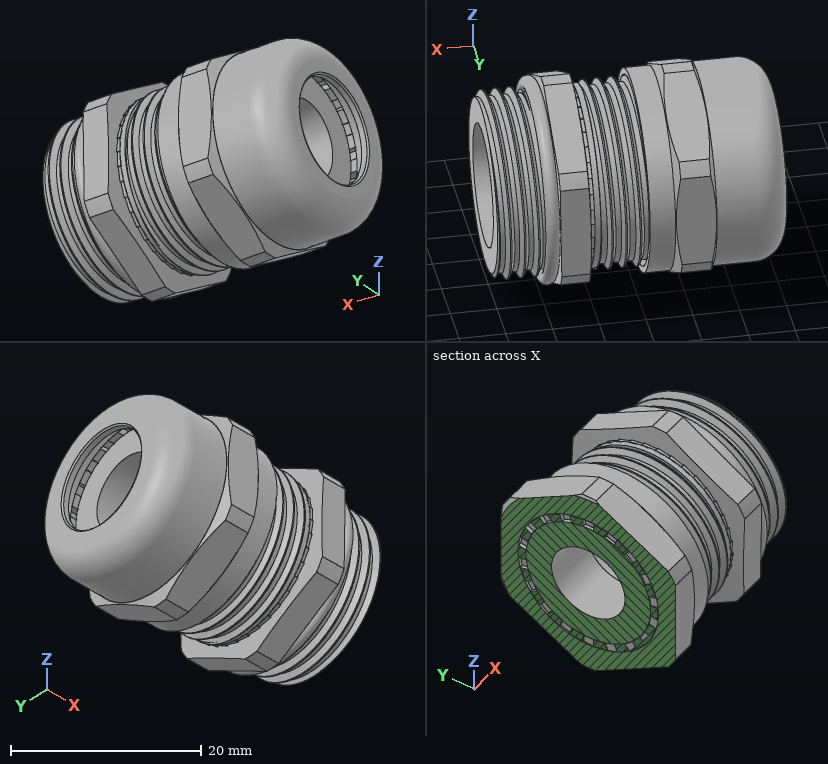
import cadquery as cq
import math

LENGTH = 31.05
NUT_HEX_START = 7.95
NUT_HEX_END = 12.35
NUT_END = 15.05
COLLAR_START = 20.1
TEETH_START = 20.75
BODY_HEX_START = 21.2
BODY_HEX_END = 24.55

YAW = -1.3
PITCH_DOWN = 0.9

ACROSS_FLATS = 22.0
HEX_CORNER_DIAMETER = 24.45
ACROSS_CORNERS = ACROSS_FLATS / math.cos(math.radians(30))

CAP_DIAMETER = 21.65
SKIRT_DIAMETER = 21.73
CAP_FILLET = 3.25
NUT_HEX_BEVEL = 0.6
MOUTH_DIAMETER = 12.15
MOUTH_CHAMFER = 0.2
MOUTH_CONE_START = 0.88

THREAD_PITCH = 1.5
THREAD_DIAMETER = 20.15
THREAD_CREST_FLAT = 0.15
THREAD_HALF_ANGLE = 30
THREAD_OVERLAP = 0.1
THREAD_CLEARANCE = 0.05
FRONT_ROOT_DIAMETER = 18.85
REAR_ROOT_DIAMETER = 18.7
FRONT_THREAD_START = 9.5
REAR_THREAD_START = 24.85
REAR_THREAD_CHAMFER = 0.47

BODY_START = 9.45
COLLAR_DIAMETER = 19.6
TOOTH_COUNT = 36
TOOTH_DEPTH = 0.15
BODY_HEX_CONE_LENGTH = 0.28
BODY_BORE_DIAMETER = 13.2

RING_INNER_DIAMETER = 19.18
RING_THICKNESS = 1.5
RING_CENTER_X = BODY_HEX_END + RING_THICKNESS / 2
RING_END = BODY_HEX_END + RING_THICKNESS

SEAL_HOLE_DIAMETER = 9.2
SEAL_DIAMETER = 15.75
SEAL_START = 3.55
SHOULDER = 14.9
CAGE_DIAMETER = 17.65
CAGE_START = 2.77
SLOT_COUNT = 18
SLOT_WIDTH = 1.25
SLOT_END = 8.82


def revolve_x(profile):
    """Turn a closed (x, radius) outline around the X axis."""
    return profile.close().revolve(360, (0, 0, 0), (1, 0, 0))


def cylinder(diameter, start, end):
    return cq.Workplane("YZ").workplane(offset=start).circle(diameter / 2).extrude(end - start)


def hexagon(start, end):
    """Hexagonal prism with two corners on the Z axis."""
    return (
        cq.Workplane("YZ")
        .workplane(offset=start)
        .transformed(rotate=(0, 0, 90))
        .polygon(6, ACROSS_CORNERS)
        .extrude(end - start)
    )


def thread_ridge(root_diameter, helix_start, helix_end):
    """Right-hand helical ridge whose crest begins at -Z."""
    root_radius = root_diameter / 2 - THREAD_OVERLAP
    crest_radius = THREAD_DIAMETER / 2
    half_crest = THREAD_CREST_FLAT / 2
    half_base = half_crest + (crest_radius - root_radius) * math.tan(math.radians(THREAD_HALF_ANGLE))
    helix = cq.Wire.makeHelix(THREAD_PITCH, helix_end - helix_start, root_radius)
    ridge = (
        cq.Workplane("XZ")
        .moveTo(root_radius, -half_base)
        .lineTo(crest_radius, -half_crest)
        .lineTo(crest_radius, half_crest)
        .lineTo(root_radius, half_base)
        .close()
        .sweep(cq.Workplane(obj=helix), isFrenet=True)
    )
    return ridge.rotate((0, 0, 0), (0, 1, 0), 90).translate((helix_start, 0, 0))


def make_nut():
    cap_radius = CAP_DIAMETER / 2
    arc_center_radius = cap_radius - CAP_FILLET
    arc_reach = CAP_FILLET * math.sin(math.radians(45))
    cap = revolve_x(
        cq.Workplane("XY")
        .moveTo(0, 0)
        .lineTo(0, arc_center_radius)
        .threePointArc((CAP_FILLET - arc_reach, arc_center_radius + arc_reach), (CAP_FILLET, cap_radius))
        .lineTo(NUT_HEX_START, cap_radius)
        .lineTo(NUT_HEX_START, 0)
    )
    skirt = cylinder(SKIRT_DIAMETER, NUT_HEX_START, NUT_END)

    skirt_radius = SKIRT_DIAMETER / 2
    corner_radius = HEX_CORNER_DIAMETER / 2
    hex_envelope = revolve_x(
        cq.Workplane("XY")
        .moveTo(NUT_HEX_START, 0)
        .lineTo(NUT_HEX_START, skirt_radius)
        .lineTo(NUT_HEX_START + NUT_HEX_BEVEL, corner_radius)
        .lineTo(NUT_HEX_END - NUT_HEX_BEVEL, corner_radius)
        .lineTo(NUT_HEX_END, skirt_radius)
        .lineTo(NUT_HEX_END, 0)
    )
    hex_ring = hexagon(NUT_HEX_START, NUT_HEX_END).intersect(hex_envelope)

    mouth_radius = MOUTH_DIAMETER / 2
    cage_radius = CAGE_DIAMETER / 2
    thread_bore_radius = THREAD_DIAMETER / 2 + THREAD_CLEARANCE
    cavity = revolve_x(
        cq.Workplane("XY")
        .moveTo(0, 0)
        .lineTo(0, mouth_radius + MOUTH_CHAMFER)
        .lineTo(MOUTH_CHAMFER, mouth_radius)
        .lineTo(MOUTH_CONE_START, mouth_radius)
        .lineTo(CAGE_START, SEAL_DIAMETER / 2)
        .lineTo(CAGE_START, cage_radius)
        .lineTo(BODY_START, cage_radius)
        .lineTo(BODY_START, thread_bore_radius)
        .lineTo(NUT_END, thread_bore_radius)
        .lineTo(NUT_END, 0)
    )
    return cap.union(skirt).union(hex_ring).cut(cavity)


def make_front_thread():
    ridge = thread_ridge(FRONT_ROOT_DIAMETER, FRONT_THREAD_START, COLLAR_START + THREAD_PITCH)
    limits = cylinder(HEX_CORNER_DIAMETER, BODY_START, COLLAR_START)
    return ridge.intersect(limits)


def make_rear_thread():
    ridge = thread_ridge(REAR_ROOT_DIAMETER, REAR_THREAD_START, LENGTH + THREAD_PITCH)
    root_radius = REAR_ROOT_DIAMETER / 2
    thread_height = THREAD_DIAMETER / 2 - root_radius
    clear_radius = root_radius + 2 * thread_height
    limits = revolve_x(
        cq.Workplane("XY")
        .moveTo(RING_END, 0)
        .lineTo(RING_END, clear_radius)
        .lineTo(LENGTH - 2 * REAR_THREAD_CHAMFER, clear_radius)
        .lineTo(LENGTH, root_radius)
        .lineTo(LENGTH, 0)
    )
    return ridge.intersect(limits)


def make_body_hexagon():
    """Hexagon with rounded corners and a shallow cone on its front face."""
    corner_radius = HEX_CORNER_DIAMETER / 2
    envelope = revolve_x(
        cq.Workplane("XY")
        .moveTo(BODY_HEX_START, 0)
        .lineTo(BODY_HEX_START, COLLAR_DIAMETER / 2)
        .lineTo(BODY_HEX_START + BODY_HEX_CONE_LENGTH, corner_radius)
        .lineTo(BODY_HEX_END, corner_radius)
        .lineTo(BODY_HEX_END, 0)
    )
    return hexagon(BODY_HEX_START, BODY_HEX_END).intersect(envelope)


def make_ratchet():
    """Ring of saw teeth between the collar and the hexagon."""
    tip_radius = COLLAR_DIAMETER / 2
    tooth_angle = 2 * math.pi / TOOTH_COUNT
    points = []
    for index in range(TOOTH_COUNT):
        tip_angle = index * tooth_angle
        root_angle = tip_angle + tooth_angle
        for radius, angle in ((tip_radius, tip_angle), (tip_radius - TOOTH_DEPTH, root_angle)):
            points.append((radius * math.cos(angle), radius * math.sin(angle)))
    ring = cq.Workplane("YZ").workplane(offset=TEETH_START).polyline(points).close()
    return ring.extrude(BODY_HEX_START - TEETH_START)


def make_body():
    front = cylinder(FRONT_ROOT_DIAMETER, BODY_START, COLLAR_START).union(make_front_thread())
    collar = cylinder(COLLAR_DIAMETER, COLLAR_START, TEETH_START).union(make_ratchet())
    rear = cylinder(REAR_ROOT_DIAMETER, BODY_HEX_END, LENGTH).union(make_rear_thread())
    socket = cylinder(CAGE_DIAMETER, BODY_START, SHOULDER)
    bore = cylinder(BODY_BORE_DIAMETER, SHOULDER, LENGTH)
    return front.union(collar).union(make_body_hexagon()).union(rear).cut(socket).cut(bore)


def make_o_ring():
    center_radius = (RING_INNER_DIAMETER + RING_THICKNESS) / 2
    return (
        cq.Workplane("XY")
        .center(RING_CENTER_X, center_radius)
        .circle(RING_THICKNESS / 2)
        .revolve(360, (0, -center_radius, 0), (1, -center_radius, 0))
    )


def make_seal():
    sleeve = cylinder(SEAL_DIAMETER, SEAL_START, SHOULDER)
    return sleeve.cut(cylinder(SEAL_HOLE_DIAMETER, SEAL_START, SHOULDER))


def make_cage():
    """Sleeve around the seal, slotted from the front into clamping fingers."""
    cage = cylinder(CAGE_DIAMETER, CAGE_START, SHOULDER)
    cage = cage.cut(cylinder(SEAL_DIAMETER, CAGE_START, SHOULDER))
    slot_length = SLOT_END - CAGE_START
    slot = cq.Workplane("XY").box(slot_length, SLOT_WIDTH, CAGE_DIAMETER, centered=(False, True, False))
    slot = slot.translate((CAGE_START, 0, 0))
    for index in range(SLOT_COUNT):
        cage = cage.cut(slot.rotate((0, 0, 0), (1, 0, 0), index * 360 / SLOT_COUNT))
    return cage


def lean(body):
    """Tilt a body from the X axis to the leaning axis of the gland."""
    return body.rotate((0, 0, 0), (0, 0, 1), YAW).rotate((0, 0, 0), (0, 1, 0), PITCH_DOWN)


nut = lean(make_nut())
body = lean(make_body())
o_ring = lean(make_o_ring())
seal = lean(make_seal())
cage = lean(make_cage())

result = cq.Compound.makeCompound([nut.val(), body.val(), o_ring.val(), seal.val(), cage.val()])